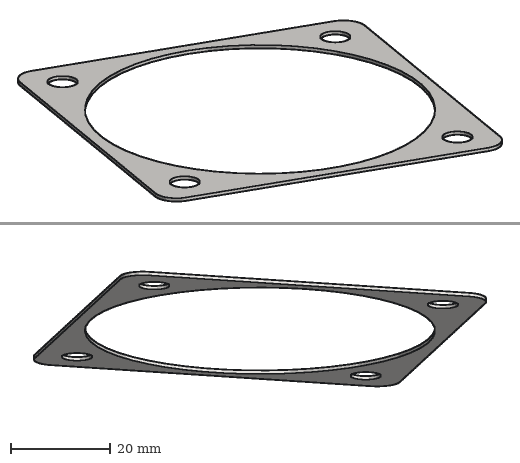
import cadquery as cq

side = 76.2
thickness = 0.8
corner_radius = 4.7

opening_diameter = 70.6
hole_spacing = 60.3
hole_diameter = 6.1

plate = cq.Workplane("XY").box(side, side, thickness).edges("|Z").fillet(corner_radius)

frame = plate.faces(">Z").workplane().hole(opening_diameter)

result = (
    frame.faces(">Z")
    .workplane(origin=(0, 0, 0))
    .rect(hole_spacing, hole_spacing, forConstruction=True)
    .vertices()
    .hole(hole_diameter)
)